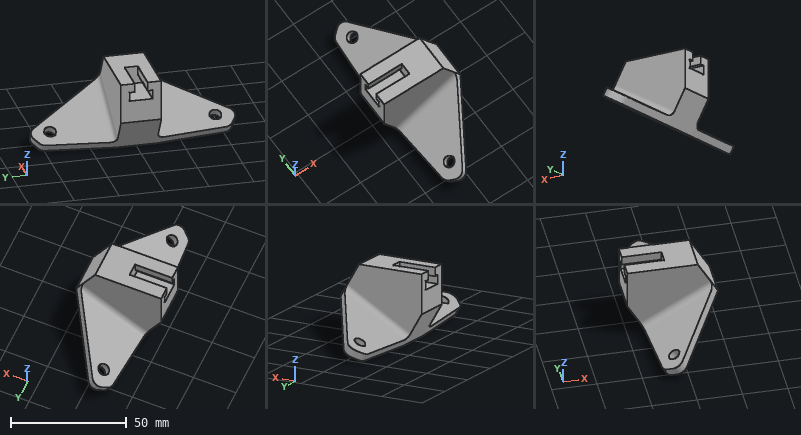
import cadquery as cq
import math

tilt = 30.0
length = 40.1
height = 33.5
block_width = 18.0
half_width = block_width / 2
base_length = 36.0

plate_thickness = 4.0
corner_radius = 4.0
root_radius = 3.0
hole_diameter = 5.2
hole_along = 9.2
hole_across = 36.8
tip_along = 9.5
tip_across = 47.0
shoulder_along = 2.3
shoulder_across = 42.0

slot_length = 17.5
neck_width = 5.8
neck_depth = 4.0
tee_width = 10.3
slot_depth = 8.0

sin_tilt = math.sin(math.radians(tilt))
cos_tilt = math.cos(math.radians(tilt))
tan_tilt = sin_tilt / cos_tilt

low_x = length - base_length * cos_tilt
high_z = base_length * sin_tilt - height

base_plane = cq.Plane(
    origin=(low_x, 0, -height),
    xDir=(cos_tilt, 0, sin_tilt),
    normal=(-sin_tilt, 0, cos_tilt),
)


def make_block():
    profile = [
        (0, 0),
        (length + high_z * tan_tilt, 0),
        (length, high_z),
        (low_x, -height),
        (0, low_x / tan_tilt - height),
    ]
    return cq.Workplane("XZ").polyline(profile).close().extrude(half_width, both=True)


def make_wing(thickness):
    """Plate outline on the +Y side, starting at the middle plane."""
    outline = [
        (0, 0),
        (0, half_width),
        (shoulder_along, shoulder_across),
        (tip_along, tip_across),
        (base_length, half_width),
        (base_length, 0),
    ]
    wing = cq.Workplane(base_plane).polyline(outline).close().extrude(thickness)
    tip_edges = cq.selectors.BoxSelector(
        (-length, hole_across, -2 * height), (length, 2 * tip_across, height)
    )
    upright_edges = cq.selectors.ParallelDirSelector(base_plane.zDir)
    return wing.edges(upright_edges).edges(tip_edges).fillet(corner_radius)


def make_root_fillet():
    """Concave strip along the +Y side of the block, trimmed to the plate outline."""
    top = plate_thickness + root_radius
    outer = half_width + root_radius
    mid_offset = root_radius * (1 - math.sqrt(0.5))
    section_plane = cq.Plane(origin=base_plane.origin, xDir=(0, 1, 0), normal=base_plane.xDir)
    strip = (
        cq.Workplane(section_plane)
        .moveTo(half_width, 0)
        .lineTo(half_width, top)
        .threePointArc((half_width + mid_offset, plate_thickness + mid_offset), (outer, plate_thickness))
        .lineTo(outer, 0)
        .close()
        .extrude(base_length)
    )
    return strip.intersect(make_wing(top))


def make_slot():
    def channel(width, depth):
        return cq.Workplane().box(slot_length, width, depth, centered=(False, True, False))

    neck = channel(neck_width, slot_depth).translate((0, 0, -slot_depth))
    tee = channel(tee_width, slot_depth - neck_depth).translate((0, 0, -slot_depth))
    return neck.union(tee)


def make_hole():
    return (
        cq.Workplane(base_plane)
        .center(hole_along, hole_across)
        .circle(hole_diameter / 2)
        .extrude(plate_thickness)
    )


side = make_wing(plate_thickness).union(make_root_fillet()).cut(make_hole())
result = make_block().union(side).union(side.mirror("XZ")).cut(make_slot())